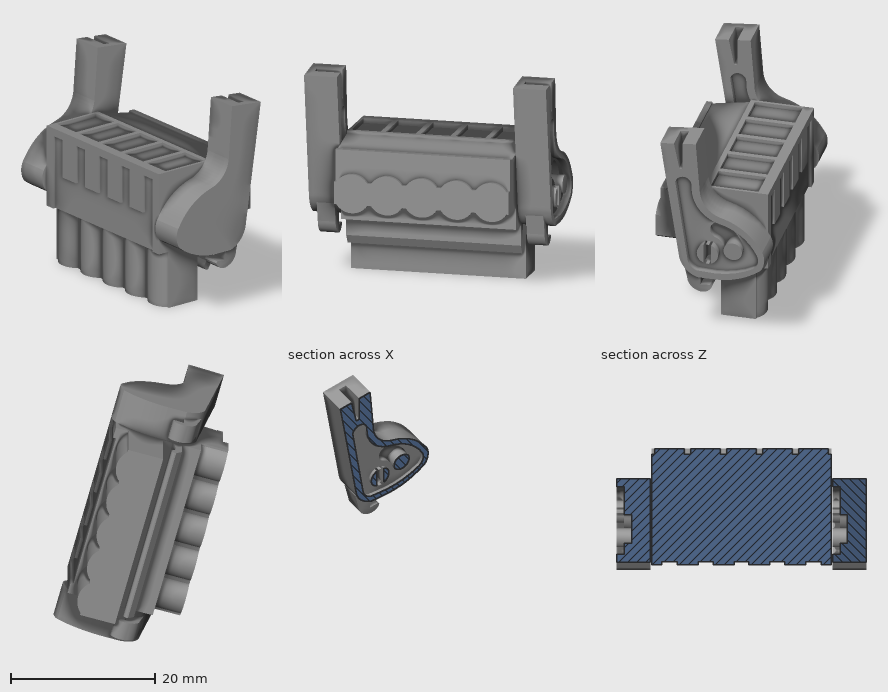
import cadquery as cq
import math

POLES = 5
PITCH = 5.0
TOTAL_WIDTH = 34.7
HOUSING_WIDTH = 25.05
LEVER_GAP = 0.1
POLE_CENTRES = [PITCH * (i - (POLES - 1) / 2) for i in range(POLES)]
BUMP_HALF = 2.22

FRONT_Y = -7.75
TOP_Z = 5.4
UNDERSIDE_Z = -6.45
SLOPE_START_Y = 1.32
SLOPE_START_Z = 5.03
GROOVE_Y = 6.85
GROOVE_Z = 4.03
BACK_Y = 7.7
BACK_TOP_Z = 4.27
LOWER_BACK_Y = 4.5

ENTRY_BACK_Y = 8.45
ENTRY_TOP_Z = -0.17
ENTRY_BOTTOM_Z = -3.35
ENTRY_CROWN = 1.18

PLUG_BACK_Y = -0.95
PLUG_FRONT_Y = -5.97
PLUG_CROWN = 0.97
PLUG_BOTTOM_Z = -14.75

COMB_DEPTH = 0.4
COMB_HALF_WIDTH = 11.05
COMB_TOP_Z = 4.27
TONGUE_WIDTH = 3.0
TONGUE_BOTTOM_Z = -1.3

BUTTON_WIDTH = 4.25
BUTTON_BACK_Y = 0.6
BUTTON_FRONT_Y = -6.25
BUTTON_RECESS = 0.65
BUTTON_HEIGHT = 2.08
BUTTON_TOP_Z = TOP_Z - BUTTON_RECESS
BUTTON_BOTTOM_Z = BUTTON_TOP_Z - BUTTON_HEIGHT

LEVER_WIDTH = (TOTAL_WIDTH - HOUSING_WIDTH) / 2 - LEVER_GAP
LEVER_STARTS = [-TOTAL_WIDTH / 2, TOTAL_WIDTH / 2 - LEVER_WIDTH]
POCKET_DEPTH = 1.05
GRIP_SLOT_DEPTH = 3.68
GRIP_SLOT_TIP_Z = 10.55
HOOK_START = 1.1
HOOK_END = GRIP_SLOT_DEPTH

PIVOT_Y = -0.28
PIVOT_Z = -2.55
PIVOT_RADIUS = 1.53
DRIVER_SLOT_WIDTH = 1.08
DRIVER_SLOT_LENGTH = 3.02
DRIVER_SLOT_DEPTH = 2.6

TRACK_RADIUS = 3.75
TRACK_HALF_WIDTH = 1.32
TRACK_START = 166.0
TRACK_END = 113.0
TRACK_DEPTH = 1.0


def block(x_range, y_range, z_range):
    """Box between the given limits."""
    sizes = [high - low for low, high in (x_range, y_range, z_range)]
    corner = (x_range[0], y_range[0], z_range[0])
    return cq.Workplane("XY").box(*sizes, centered=False).translate(corner)


def full_width(y_range, z_range):
    """Box as wide as the housing."""
    half = HOUSING_WIDTH / 2
    return block((-half, half), y_range, z_range)


def side_plane(x):
    """Plane facing +X at x, whose local axes are Y and Z."""
    return cq.Workplane("YZ", origin=(x, 0, 0))


def housing_core():
    return (
        side_plane(-HOUSING_WIDTH / 2)
        .moveTo(FRONT_Y, UNDERSIDE_Z)
        .lineTo(FRONT_Y, TOP_Z)
        .lineTo(SLOPE_START_Y, TOP_Z)
        .lineTo(SLOPE_START_Y, SLOPE_START_Z)
        .lineTo(GROOVE_Y, GROOVE_Z)
        .lineTo(GROOVE_Y, BACK_TOP_Z)
        .lineTo(BACK_Y, BACK_TOP_Z)
        .lineTo(BACK_Y, ENTRY_BOTTOM_Z)
        .lineTo(LOWER_BACK_Y, ENTRY_BOTTOM_Z)
        .lineTo(LOWER_BACK_Y, UNDERSIDE_Z)
        .close()
        .extrude(HOUSING_WIDTH)
    )


def wire_entry(x):
    """Rounded wire entry of one pole, running along Y."""
    return (
        cq.Workplane("XZ", origin=(x, ENTRY_BACK_Y, 0))
        .moveTo(-BUMP_HALF, ENTRY_BOTTOM_Z)
        .threePointArc((0, ENTRY_BOTTOM_Z - ENTRY_CROWN), (BUMP_HALF, ENTRY_BOTTOM_Z))
        .lineTo(BUMP_HALF, ENTRY_TOP_Z)
        .threePointArc((0, ENTRY_TOP_Z + ENTRY_CROWN), (-BUMP_HALF, ENTRY_TOP_Z))
        .close()
        .extrude(ENTRY_BACK_Y - LOWER_BACK_Y)
    )


def plug_front(x):
    """Rounded plug front of one pole, running along Z."""
    return (
        cq.Workplane("XY", origin=(x, 0, PLUG_BOTTOM_Z))
        .moveTo(-BUMP_HALF, PLUG_FRONT_Y)
        .threePointArc((0, PLUG_FRONT_Y - PLUG_CROWN), (BUMP_HALF, PLUG_FRONT_Y))
        .close()
        .extrude(UNDERSIDE_Z - PLUG_BOTTOM_Z)
    )


def latch_lip():
    """Lip with a rounded toe, hanging from the underside behind the plug block."""
    return (
        side_plane(-HOUSING_WIDTH / 2)
        .moveTo(0.45, UNDERSIDE_Z)
        .threePointArc((0.8, -7.8), (0.75, -9.35))
        .lineTo(0.45, -9.68)
        .threePointArc((0.3, -10.27), (0.73, -10.65))
        .lineTo(0.95, -10.65)
        .lineTo(1.8, -9.37)
        .lineTo(1.8, UNDERSIDE_Z)
        .close()
        .extrude(HOUSING_WIDTH)
    )


def comb_recess():
    """Shallow recess in the front face that leaves a tongue between each two poles."""
    depth_range = (FRONT_Y, FRONT_Y + COMB_DEPTH)
    recess = block((-COMB_HALF_WIDTH, COMB_HALF_WIDTH), depth_range, (UNDERSIDE_Z, COMB_TOP_Z))
    for pole_x in POLE_CENTRES[:-1]:
        left = pole_x + (PITCH - TONGUE_WIDTH) / 2
        tongue = block((left, left + TONGUE_WIDTH), depth_range, (TONGUE_BOTTOM_Z, COMB_TOP_Z))
        recess = recess.cut(tongue)
    return recess


def button_space(x, z_low, z_high):
    """Part of one pole's button well between two heights."""
    half = BUTTON_WIDTH / 2
    return block((x - half, x + half), (BUTTON_FRONT_Y, BUTTON_BACK_Y), (z_low, z_high))


def make_housing():
    housing = (
        housing_core()
        .union(full_width((LOWER_BACK_Y, ENTRY_BACK_Y), (ENTRY_BOTTOM_Z, ENTRY_TOP_Z)))
        .union(full_width((PLUG_FRONT_Y, PLUG_BACK_Y), (PLUG_BOTTOM_Z, UNDERSIDE_Z)))
        .union(latch_lip())
    )
    for x in POLE_CENTRES:
        housing = housing.union(wire_entry(x)).union(plug_front(x))
        housing = housing.cut(button_space(x, BUTTON_BOTTOM_Z, TOP_Z))
    return housing.cut(comb_recess())


def make_button(x):
    return button_space(x, BUTTON_BOTTOM_Z, BUTTON_TOP_Z)


def lever_plate(x):
    """Handle that widens into a rounded cam below."""
    return (
        side_plane(x)
        .moveTo(6.5, 14.25)
        .lineTo(1.4, 14.78)
        .lineTo(0.8, 7.08)
        .threePointArc((-0.6, 4.4), (-2.3, 3.5))
        .threePointArc((-5.3, 2.08), (-7.8, -0.65))
        .lineTo(-8.15, -1.18)
        .threePointArc((-8.43, -2.65), (-7.9, -4.1))
        .threePointArc((-4.95, -5.75), (-1.55, -6.42))
        .lineTo(1.15, -6.42)
        .threePointArc((3.05, -5.1), (3.85, -3.05))
        .close()
        .extrude(LEVER_WIDTH)
    )


def lever_pocket(x):
    """Pocket in the -X side, following the plate outline inside a raised rim."""
    return (
        side_plane(x)
        .moveTo(4.3, 8.2)
        .threePointArc((3.23, 9.35), (2.0, 8.2))
        .lineTo(1.98, 7.32)
        .threePointArc((0.9, 4.45), (-1.85, 2.57))
        .threePointArc((-5.1, 1.05), (-7.35, -1.75))
        .threePointArc((-7.53, -2.88), (-6.87, -3.95))
        .threePointArc((-4.27, -5.03), (-1.4, -5.45))
        .lineTo(1.2, -5.35)
        .threePointArc((2.08, -4.82), (2.57, -3.78))
        .close()
        .extrude(POCKET_DEPTH)
    )


def grip_slot(x):
    """Tapered slot in the top of the handle, open to the -X side."""
    return (
        side_plane(x)
        .moveTo(3.3, 14.92)
        .lineTo(3.3, 10.8)
        .threePointArc((3.55, GRIP_SLOT_TIP_Z), (3.78, 10.8))
        .lineTo(4.6, 14.92)
        .close()
        .extrude(GRIP_SLOT_DEPTH)
    )


def lever_hook(x):
    """Hook under the cam, with its nose towards the front."""
    return (
        side_plane(x + HOOK_START)
        .moveTo(3.55, -4.5)
        .lineTo(2.9, -7.3)
        .threePointArc((2.45, -8.45), (1.6, -9.1))
        .threePointArc((0.52, -9.25), (-0.45, -8.65))
        .lineTo(-0.55, -8.33)
        .lineTo(-0.38, -8.05)
        .lineTo(0.15, -8.1)
        .lineTo(1.0, -8.2)
        .lineTo(1.0, -5.55)
        .close()
        .extrude(HOOK_END - HOOK_START)
    )


def around_pivot(radius, angle):
    """Y and Z of a point at the given radius and angle about the pivot."""
    turn = math.radians(angle)
    return PIVOT_Y + radius * math.cos(turn), PIVOT_Z + radius * math.sin(turn)


def track(x):
    """Curved track about the pivot, sunk into the pocket floor."""
    inner = TRACK_RADIUS - TRACK_HALF_WIDTH
    outer = TRACK_RADIUS + TRACK_HALF_WIDTH
    middle = (TRACK_START + TRACK_END) / 2
    arc = (
        side_plane(x + POCKET_DEPTH)
        .moveTo(*around_pivot(inner, TRACK_START))
        .threePointArc(around_pivot(inner, middle), around_pivot(inner, TRACK_END))
        .lineTo(*around_pivot(outer, TRACK_END))
        .threePointArc(around_pivot(outer, middle), around_pivot(outer, TRACK_START))
        .close()
        .extrude(TRACK_DEPTH)
    )
    for angle in (TRACK_START, TRACK_END):
        centre = around_pivot(TRACK_RADIUS, angle)
        arc = arc.union(
            side_plane(x + POCKET_DEPTH).center(*centre).circle(TRACK_HALF_WIDTH).extrude(TRACK_DEPTH)
        )
    return arc


def stop_pin(x):
    """Pin that fills the front end of the track and stands up to the rim."""
    centre = around_pivot(TRACK_RADIUS, TRACK_START)
    return side_plane(x).center(*centre).circle(TRACK_HALF_WIDTH).extrude(POCKET_DEPTH + TRACK_DEPTH)


def pivot_boss(x):
    return side_plane(x).center(PIVOT_Y, PIVOT_Z).circle(PIVOT_RADIUS).extrude(POCKET_DEPTH)


def driver_slot(x):
    """Upright slot with a round bottom across the pivot boss."""
    half = DRIVER_SLOT_WIDTH / 2
    straight = DRIVER_SLOT_DEPTH - half
    bottom_z = PIVOT_Z - DRIVER_SLOT_LENGTH / 2
    return (
        cq.Workplane("XY", origin=(x, PIVOT_Y, bottom_z))
        .moveTo(0, -half)
        .lineTo(straight, -half)
        .threePointArc((DRIVER_SLOT_DEPTH, 0), (straight, half))
        .lineTo(0, half)
        .close()
        .extrude(DRIVER_SLOT_LENGTH)
    )


def make_lever(x):
    """Lever whose -X side lies at x."""
    return (
        lever_plate(x)
        .union(lever_hook(x))
        .cut(lever_pocket(x))
        .cut(grip_slot(x))
        .cut(track(x))
        .union(stop_pin(x))
        .union(pivot_boss(x))
        .cut(driver_slot(x))
    )


housing = make_housing()
buttons = [make_button(x) for x in POLE_CENTRES]
levers = [make_lever(x) for x in LEVER_STARTS]

result = cq.Compound.makeCompound(
    [housing.val(), *[button.val() for button in buttons], *[lever.val() for lever in levers]]
)